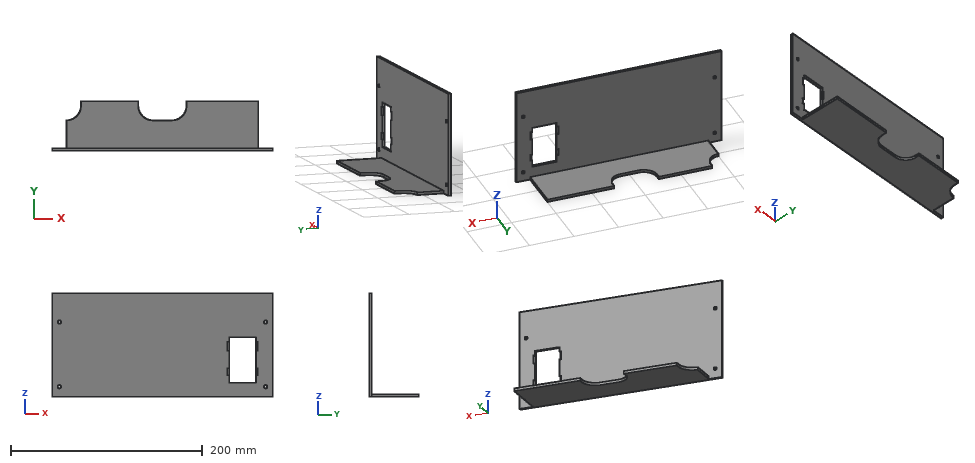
import cadquery as cq

panel_length = 230.0
panel_height = 108.0
thickness = 3.0

overall_depth = 52.0
shelf_left = 15.0
shelf_right = 214.8
relief_depth = 20.0
relief_radius = 15.0
recess_left = shelf_left + 75.0
recess_width = 50.0

hole_diameter = 3.2
hole_side_margin = 7.5
hole_heights = (10.5, 78.0)

window_left = 184.7
window_width = 27.5
window_bottom = 15.0
window_height = 47.2
notch_reach = 2.0
notch_depth = 2.0
notches_up_the_side = ((7.8, 7.0), (33.4, 9.0))


def box_at(x, y, z, length, depth, height):
    """Box with its lowest corner at (x, y, z)."""
    return cq.Workplane("XY").box(length, depth, height, centered=False).translate((x, y, z))


def make_shelf():
    relief_floor = overall_depth - relief_depth
    shelf = box_at(shelf_left, 0, 0, shelf_right - shelf_left, overall_depth, thickness)
    corner_relief = box_at(
        shelf_left - relief_radius, relief_floor, 0, 2 * relief_radius, relief_depth, thickness
    )
    corner_relief = corner_relief.edges("|Z and >X and <Y").fillet(relief_radius)
    recess = box_at(recess_left, relief_floor, 0, recess_width, relief_depth, thickness)
    recess = recess.edges("|Z and <Y").fillet(relief_radius)
    return shelf.cut(corner_relief).cut(recess)


def make_screw_holes():
    centers = [
        (x, z)
        for x in (hole_side_margin, panel_length - hole_side_margin)
        for z in hole_heights
    ]
    holes = cq.Workplane("XZ").pushPoints(centers).circle(hole_diameter / 2)
    return holes.extrude(-thickness)


def make_window():
    window = box_at(window_left, 0, window_bottom, window_width, thickness, window_height)
    for offset, notch_height in notches_up_the_side:
        notches = box_at(
            window_left - notch_reach,
            thickness - notch_depth,
            window_bottom + offset,
            window_width + 2 * notch_reach,
            notch_depth,
            notch_height,
        )
        window = window.union(notches)
    return window


panel = box_at(0, 0, 0, panel_length, thickness, panel_height)
result = panel.union(make_shelf()).cut(make_screw_holes()).cut(make_window())